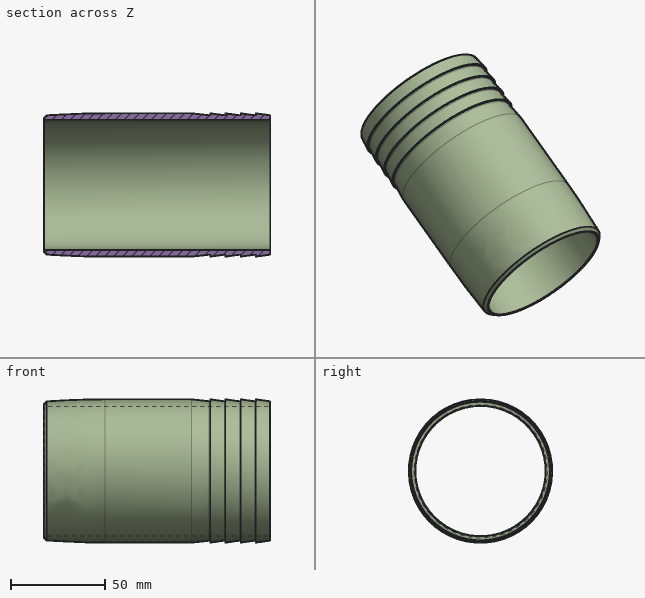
import cadquery as cq
import math

length = 120.0
outer_radius = 76.1 / 2
bore_radius = 68.9 / 2

crown_end_x = 32.4
crown_drop = 1.1
nose_bevel = 1.7
bore_chamfer = 0.2

crest_count = 4
barb_pitch = 8.0
last_barb_length = 7.7
barb_depth = 1.02
flat_length = 0.7
first_taper_x = 78.2
end_chamfer = 0.4

root_radius = outer_radius - barb_depth
nose_top_radius = outer_radius - crown_drop
first_crest_x = length - last_barb_length - (crest_count - 1) * barb_pitch

crown_span = crown_end_x - nose_bevel
crown_arc_radius = (crown_span**2 + crown_drop**2) / (2 * crown_drop)
crown_mid_drop = crown_arc_radius - math.sqrt(crown_arc_radius**2 - (crown_span / 2) ** 2)


def add_smooth_end(outline):
    """Draw the bore chamfer, the nose bevel and the crown, up to the straight body."""
    outline = outline.lineTo(0, bore_radius + bore_chamfer)
    outline = outline.lineTo(0, nose_top_radius - nose_bevel)
    outline = outline.lineTo(nose_bevel, nose_top_radius)
    crown_middle = (crown_end_x - crown_span / 2, outer_radius - crown_mid_drop)
    return outline.threePointArc(crown_middle, (crown_end_x, outer_radius))


def add_barbs(outline):
    """Draw the straight body and the barbs, up to the chamfered end."""
    outline = outline.lineTo(first_taper_x, outer_radius)
    for index in range(crest_count):
        crest_x = first_crest_x + index * barb_pitch
        outline = outline.lineTo(crest_x - flat_length, root_radius)
        outline = outline.lineTo(crest_x, root_radius)
        outline = outline.lineTo(crest_x, outer_radius)
    outline = outline.lineTo(length - end_chamfer, root_radius)
    return outline.lineTo(length, root_radius - end_chamfer)


wall = cq.Workplane("XZ").moveTo(bore_chamfer, bore_radius)
wall = add_smooth_end(wall)
wall = add_barbs(wall)
wall = wall.lineTo(length, bore_radius).close()

result = wall.revolve(360, (0, 0, 0), (1, 0, 0))